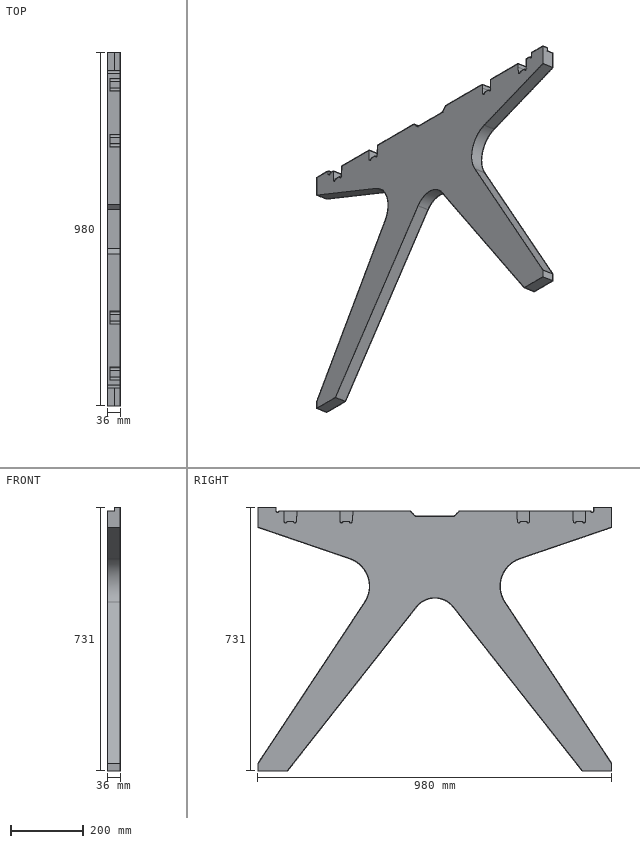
import cadquery as cq
import math

thickness = 36.0
length = 980.0
height = 731.0
half_length = length / 2

tab_height = 10.0
tab_length = 50.0
tab_thickness = 17.0
beam_top = height - tab_height

arm_tip_bottom = 675.0
armpit_y = 137.0
armpit_z = 555.0
armpit_radius = 80.0
foot_side_height = 22.0
foot_width = 81.0
crotch_peak_z = 519.0
crotch_radius = 65.0

recess_top_half_width = 69.0
recess_depth = 15.0
recess_floor_half_width = recess_top_half_width - recess_depth

slot_width = 35.0
slot_wall = 7.0
slot_offsets = (245.0, 400.0)
slot_depth = 29.0
upright_depth = 12.0
lean_angle = 5.0

relief_radius = 4.0


def plate():
    """Beam on two splayed legs, with the armpits and the crotch rounded."""
    half_outline = [
        (half_length, height),
        (half_length, arm_tip_bottom),
        (armpit_y, armpit_z),
        (half_length, foot_side_height),
        (half_length, 0),
        (half_length - foot_width, 0),
    ]
    mirrored = [(-y, z) for y, z in reversed(half_outline)]
    outline = half_outline + [(0, crotch_peak_z)] + mirrored
    body = cq.Workplane("YZ").polyline(outline).close().extrude(thickness)
    for y in (-armpit_y, armpit_y):
        armpit = cq.selectors.NearestToPointSelector((thickness / 2, y, armpit_z))
        body = body.edges("|X").edges(armpit).fillet(armpit_radius)
    crotch = cq.selectors.NearestToPointSelector((thickness / 2, 0, crotch_peak_z))
    return body.edges("|X").edges(crotch).fillet(crotch_radius)


def box_between(x_range, y_range, z_range):
    """Axis-aligned box spanning the given ranges."""
    size = [high - low for low, high in (x_range, y_range, z_range)]
    corner = (x_range[0], y_range[0], z_range[0])
    return cq.Workplane("XY").box(*size, centered=False).translate(corner)


def relief(y, z, x_start):
    """Round bar along X, from x_start to the +X face, that cuts a relief groove."""
    bar = cq.Workplane("YZ").center(y, z).circle(relief_radius).extrude(thickness - x_start)
    return bar.translate((x_start, 0, 0))


def tab_clearance():
    """Material above the beam top, leaving the two end tabs."""
    tab_inner_y = half_length - tab_length
    above = (beam_top, height)
    between_tabs = box_between((0, thickness), (-tab_inner_y, tab_inner_y), above)
    beside_tabs = box_between((0, thickness - tab_thickness), (-half_length, half_length), above)
    cut = between_tabs.union(beside_tabs)
    for side in (-1, 1):
        cut = cut.union(relief(side * (tab_inner_y - relief_radius), beam_top, 0))
    return cut


def centre_recess():
    """Recess with sloping ends in the beam top."""
    floor = beam_top - recess_depth
    points = [
        (-recess_top_half_width, beam_top),
        (-recess_floor_half_width, floor),
        (recess_floor_half_width, floor),
        (recess_top_half_width, beam_top),
    ]
    return cq.Workplane("YZ").polyline(points).close().extrude(thickness)


def slot(offset):
    """Slot on the +Y side with a relief groove along each bottom corner."""
    inner_y = offset - slot_width / 2
    outer_y = offset + slot_width / 2
    floor = beam_top - slot_depth
    lean = (slot_depth - upright_depth) * math.tan(math.radians(lean_angle))
    points = [
        (inner_y, beam_top),
        (inner_y, beam_top - upright_depth),
        (inner_y + lean, floor),
        (outer_y, floor),
        (outer_y, beam_top),
    ]
    profile = cq.Workplane("YZ").workplane(offset=slot_wall).polyline(points).close()
    cut = profile.extrude(thickness - slot_wall)
    for y in (inner_y + lean + relief_radius, outer_y - relief_radius):
        cut = cut.union(relief(y, floor, slot_wall))
    return cut


result = plate().cut(tab_clearance()).cut(centre_recess())
for slot_offset in slot_offsets:
    positive_slot = slot(slot_offset)
    result = result.cut(positive_slot).cut(positive_slot.mirror("XZ"))